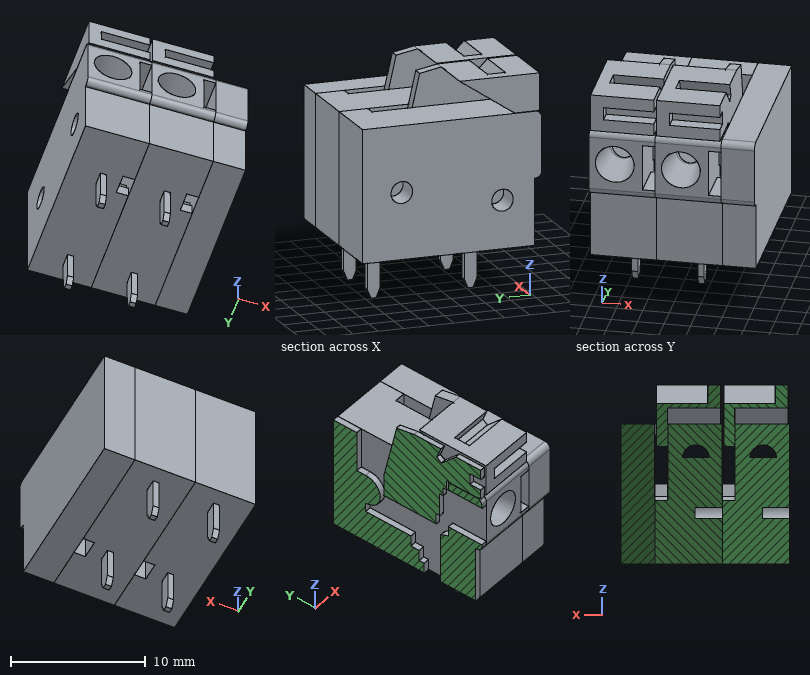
import cadquery as cq


MODULE_COUNT = 2
OVERALL_HEIGHT = 16.8
TOTAL_WIDTH = 12.53
END_PLATE_WIDTH = 2.54
PITCH = (TOTAL_WIDTH - END_PLATE_WIDTH) / MODULE_COUNT
DEPTH = 14.2
HOUSING_HEIGHT = 10.4
FRONT_RECESS = 0.59
RECESS_HEIGHT = 5.2
FRONT_FILLET = 0.5

SOCKET_DIAMETER = 1.7
SOCKET_DEPTH = 2.02
FRONT_SOCKET = (3.12, 3.78)
BACK_SOCKET = (11.09, 5.2)
FRONT_BOSS_DIAMETER = 2.45
BACK_BOSS_DIAMETER = 2.8

WIRE_X = 1.97
WIRE_Z = 7.85
WIRE_MOUTH_DIAMETER = 2.92
WIRE_END_DIAMETER = 1.95
WIRE_CONE_DEPTH = 3.21
WIRE_BORE_LEAD = 0.17
WIRE_FLOOR_RUN = 0.92

CAVITY_X = 4.07
CAVITY_FRONT = 3.21
CAVITY_BACK = 11.93
TUNNEL_BOTTOM = 5.95
TUNNEL_TOP = 9.56
DRAIN_FRONT = 3.98
DRAIN_BACK = 5.51
LOW_LEDGE_BACK = 5.98
LOW_LEDGE_HEIGHT = 1.0
MID_LEDGE_BACK = 6.77
MID_LEDGE_HEIGHT = 2.02
CAVITY_FLOOR = 3.02

LEVER_SIDE_GAP = 0.1
LEVER_FRONT = 0.12
LEVER_HEIGHT = 2.9
LEVER_TOP = HOUSING_HEIGHT + LEVER_HEIGHT
WEDGE_TOP_BACK = 6.47
WEDGE_BOTTOM_BACK = 2.13
TAB_SHOULDER = (8.16, 12.99)
STEM_HEEL = (9.39, 7.56)
STEM_BOTTOM = 5.55
STEM_FRONT = 3.36
STEM_STEP = 0.34
STEM_TOP_STEP = 9.5
STEM_MID_STEP = 8.72
STEM_LOW_STEP = 6.55
STEM_LEAN = 0.03

SLOT_WALL = 0.99
FRONT_SLOT_BOTTOM = 11.35
FRONT_SLOT_HEIGHT = 0.99
FRONT_SLOT_DEPTH = 1.0
TOP_SLOT_FRONT = 2.49
TOP_SLOT_BACK = 3.9
TOP_SLOT_FLOOR_FRONT = (3.86, 11.93)
TOP_SLOT_FLOOR_BACK = (4.3, 12.26)

PIN_LENGTH = OVERALL_HEIGHT - LEVER_TOP
PIN_THICKNESS = 0.49
PIN_WIDTH = 1.0
PIN_TIP_WIDTH = 0.4
PIN_TAPER = 0.7
PIN_X = 2.39
PIN_CENTERS_Y = (4.75, 12.43)


def side_profile(points, x_start, width):
    """Extrude a closed (Y, Z) outline along +X."""
    return cq.Workplane("YZ", origin=(x_start, 0, 0)).polyline(points).close().extrude(width)


def side_cylinder(center, diameter, x_start, length):
    """Cylinder along +X around a (Y, Z) centre."""
    return cq.Workplane("YZ", origin=(x_start, 0, 0)).center(*center).circle(diameter / 2).extrude(length)


def side_box(y_min, y_max, z_min, z_max, x_start, width):
    """Box given by its Y and Z limits, extruded along +X."""
    outline = [(y_min, z_min), (y_max, z_min), (y_max, z_max), (y_min, z_max)]
    return side_profile(outline, x_start, width)


def make_block(x_start, width):
    """Plain housing slice: recessed lower front and a rounded upper front."""
    outline = [
        (FRONT_RECESS, 0),
        (DEPTH, 0),
        (DEPTH, HOUSING_HEIGHT),
        (0, HOUSING_HEIGHT),
        (0, RECESS_HEIGHT),
        (FRONT_RECESS, RECESS_HEIGHT),
    ]
    return side_profile(outline, x_start, width).edges("|X and <Y").fillet(FRONT_FILLET)


def make_wire_entry(x_start):
    """Conical wire entry with a short bore behind it; the bore floor slopes back as it rises."""
    mouth_center = cq.Vector(x_start + WIRE_X, 0, WIRE_Z)
    mouth_radius = WIRE_MOUTH_DIAMETER / 2
    end_radius = WIRE_END_DIAMETER / 2
    inward = cq.Vector(0, 1, 0)
    cone = cq.Workplane(cq.Solid.makeCone(mouth_radius, end_radius, WIRE_CONE_DEPTH, mouth_center, inward))

    bore_start = mouth_center + inward * WIRE_CONE_DEPTH
    bore_depth = WIRE_BORE_LEAD + WIRE_FLOOR_RUN
    bore = cq.Workplane(cq.Solid.makeCylinder(end_radius, bore_depth + WIRE_BORE_LEAD, bore_start, inward))

    floor_middle = WIRE_CONE_DEPTH + WIRE_BORE_LEAD + WIRE_FLOOR_RUN / 2
    floor_low = (floor_middle - WIRE_FLOOR_RUN, WIRE_Z - WIRE_END_DIAMETER)
    floor_high = (floor_middle + WIRE_FLOOR_RUN, WIRE_Z + WIRE_END_DIAMETER)
    above_floor = side_profile([floor_low, floor_high, (floor_low[0], floor_high[1])], x_start, PITCH)
    return cone.union(bore.intersect(above_floor))


def make_cavity(x_start):
    """Lever cavity: stepped floor, bottom opening, front tunnel, and socket bosses left standing."""
    x_cavity = x_start + CAVITY_X
    width = PITCH - CAVITY_X
    outline = [
        (CAVITY_FRONT, HOUSING_HEIGHT),
        (CAVITY_FRONT, CAVITY_FLOOR),
        (DRAIN_FRONT, CAVITY_FLOOR),
        (DRAIN_FRONT, 0),
        (DRAIN_BACK, 0),
        (DRAIN_BACK, LOW_LEDGE_HEIGHT),
        (LOW_LEDGE_BACK, LOW_LEDGE_HEIGHT),
        (LOW_LEDGE_BACK, MID_LEDGE_HEIGHT),
        (MID_LEDGE_BACK, MID_LEDGE_HEIGHT),
        (MID_LEDGE_BACK, CAVITY_FLOOR),
        (CAVITY_BACK, CAVITY_FLOOR),
        (CAVITY_BACK, HOUSING_HEIGHT),
    ]
    cavity = side_profile(outline, x_cavity, width)
    tunnel = side_box(0, CAVITY_FRONT, TUNNEL_BOTTOM, TUNNEL_TOP, x_cavity, width)
    front_boss = side_cylinder(FRONT_SOCKET, FRONT_BOSS_DIAMETER, x_cavity, width)
    front_boss = front_boss.intersect(side_box(0, DRAIN_FRONT, 0, HOUSING_HEIGHT, x_cavity, width))
    back_boss = side_cylinder(BACK_SOCKET, BACK_BOSS_DIAMETER, x_cavity, width)
    back_boss_top = BACK_SOCKET[1] + BACK_BOSS_DIAMETER / 2
    back_ledge = side_box(BACK_SOCKET[0], CAVITY_BACK, CAVITY_FLOOR, back_boss_top, x_cavity, width)
    return cavity.cut(front_boss).cut(back_boss).cut(back_ledge).union(tunnel)


def make_module(x_start):
    """Housing of one pole, with its sockets, wire entry and lever cavity."""
    module = make_block(x_start, PITCH)
    for center in (FRONT_SOCKET, BACK_SOCKET):
        module = module.cut(side_cylinder(center, SOCKET_DIAMETER, x_start, SOCKET_DEPTH))
    return module.cut(make_wire_entry(x_start)).cut(make_cavity(x_start))


def make_lever(x_start):
    """Wedge-shaped push lever with a narrow stem reaching down into the cavity."""
    lever_x = x_start + LEVER_SIDE_GAP
    width = PITCH - 2 * LEVER_SIDE_GAP
    stem_x = x_start + CAVITY_X
    stem_width = lever_x + width - stem_x

    wedge = side_profile(
        [
            (LEVER_FRONT, HOUSING_HEIGHT),
            (WEDGE_BOTTOM_BACK, HOUSING_HEIGHT),
            (WEDGE_TOP_BACK, LEVER_TOP),
            (LEVER_FRONT, LEVER_TOP),
        ],
        lever_x,
        width,
    )
    stem = side_profile(
        [
            (WEDGE_BOTTOM_BACK, HOUSING_HEIGHT),
            (STEM_FRONT, HOUSING_HEIGHT),
            (STEM_FRONT, STEM_TOP_STEP),
            (STEM_FRONT + STEM_STEP, STEM_TOP_STEP),
            (STEM_FRONT + STEM_STEP + STEM_LEAN, STEM_MID_STEP),
            (STEM_FRONT + 2 * STEM_STEP, STEM_MID_STEP),
            (STEM_FRONT + 2 * STEM_STEP, STEM_LOW_STEP),
            (STEM_FRONT + 3 * STEM_STEP, STEM_LOW_STEP),
            (STEM_FRONT + 3 * STEM_STEP, STEM_BOTTOM),
            (STEM_HEEL[0], STEM_BOTTOM),
            STEM_HEEL,
            TAB_SHOULDER,
            (WEDGE_TOP_BACK, LEVER_TOP),
        ],
        stem_x,
        stem_width,
    )
    slot_x = lever_x + SLOT_WALL
    slot_width = width - SLOT_WALL
    front_slot = side_box(
        LEVER_FRONT,
        LEVER_FRONT + FRONT_SLOT_DEPTH,
        FRONT_SLOT_BOTTOM,
        FRONT_SLOT_BOTTOM + FRONT_SLOT_HEIGHT,
        slot_x,
        slot_width,
    )
    top_slot = side_profile(
        [
            (TOP_SLOT_FRONT, LEVER_TOP),
            TOP_SLOT_FLOOR_FRONT,
            TOP_SLOT_FLOOR_BACK,
            (TOP_SLOT_BACK, LEVER_TOP),
        ],
        slot_x,
        slot_width,
    )
    return wedge.union(stem).cut(front_slot).cut(top_slot)


def make_pin(x_start, y_center):
    """Flat solder pin below the housing with a tapered tip."""
    half = PIN_WIDTH / 2
    half_tip = PIN_TIP_WIDTH / 2
    outline = [
        (y_center - half, 0),
        (y_center - half, PIN_TAPER - PIN_LENGTH),
        (y_center - half_tip, -PIN_LENGTH),
        (y_center + half_tip, -PIN_LENGTH),
        (y_center + half, PIN_TAPER - PIN_LENGTH),
        (y_center + half, 0),
    ]
    return side_profile(outline, x_start + PIN_X, PIN_THICKNESS)


module_starts = [index * PITCH for index in range(MODULE_COUNT)]
modules = [make_module(x_start) for x_start in module_starts]
levers = [make_lever(x_start) for x_start in module_starts]
pins = [make_pin(x_start, y_center) for x_start in module_starts for y_center in PIN_CENTERS_Y]
end_plate = make_block(MODULE_COUNT * PITCH, END_PLATE_WIDTH)

bodies = [*modules, end_plate, *levers, *pins]

result = cq.Compound.makeCompound([body.solids().val() for body in bodies])